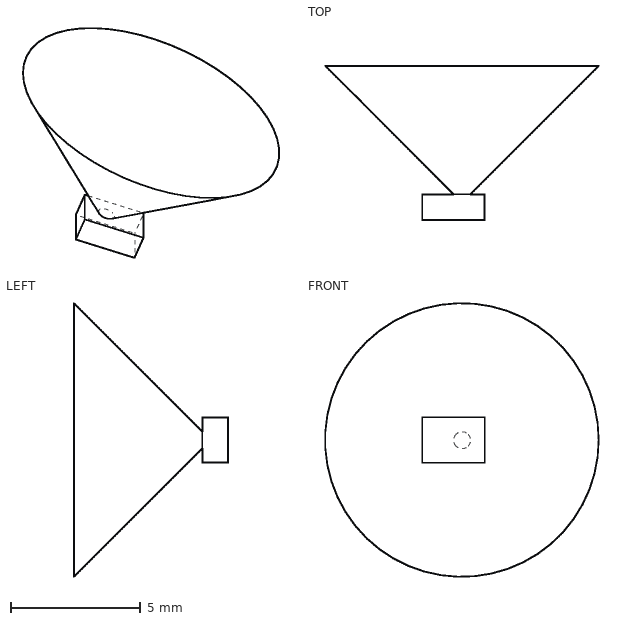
import cadquery as cq

cone_rim_radius = 5.3
cone_length = 4.97
cone_tip_radius = cone_rim_radius - cone_length

block_width = 2.43
block_depth = 1.0
block_height = 1.76
block_offset_x = -0.33


def make_block():
    """Rectangular block whose back face lies on the plane Y = 0."""
    return (
        cq.Workplane("XY")
        .box(block_width, block_depth, block_height)
        .translate((block_offset_x, -block_depth / 2, 0))
    )


def make_cone():
    """Truncated cone that opens along +Y from the back face of the block."""
    half_profile = (
        cq.Workplane("XY")
        .moveTo(0, 0)
        .lineTo(cone_tip_radius, 0)
        .lineTo(cone_rim_radius, cone_length)
        .lineTo(0, cone_length)
        .close()
    )
    return half_profile.revolve(360, (0, 0, 0), (0, 1, 0))


block = make_block()
cone = make_cone()
result = cq.Compound.makeCompound([block.val(), cone.val()])